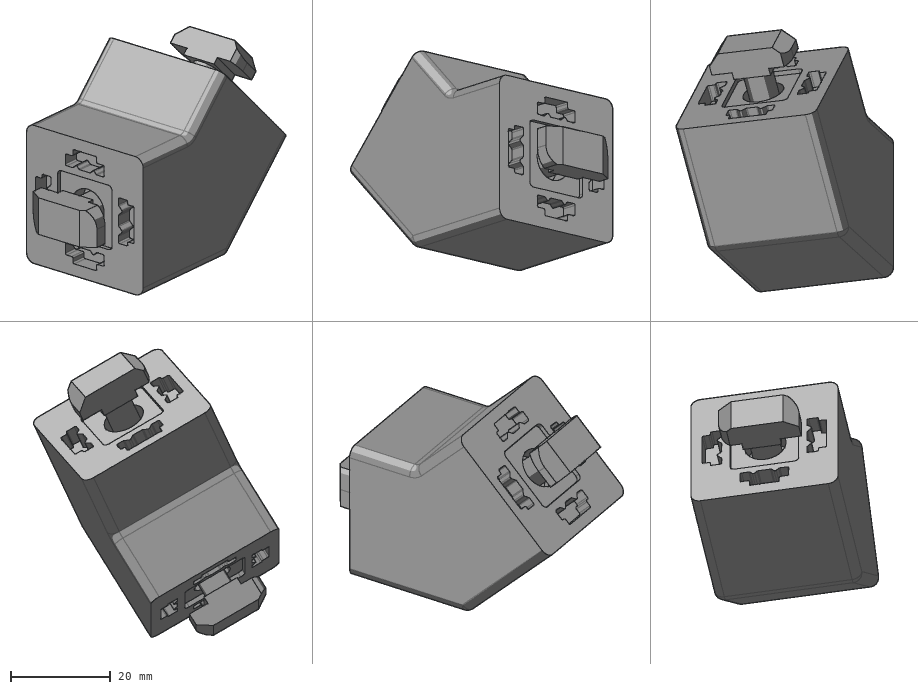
import cadquery as cq
import math

overall_length = 55.0
section = 30.0
outer_leg = 27.4
bend_angle = 45.0
edge_radius = 2.0

socket_size = 13.95
socket_depth = 1.0
socket_corner_radius = 1.0
bore_diameter = 8.4
bore_depth = 4.8

slot_wide_half = 4.95
slot_depth = 3.5
slot_edge_radius = 0.35
notch_offset = 2.2
full_slot = {"inner": 8.7, "shoulder": 11.0, "outer": 12.65, "narrow_half": 4.0, "notch_half": 1.05}
slim_slot = {"inner": 8.4, "shoulder": 10.95, "outer": 12.4, "narrow_half": 3.0, "notch_half": 0.8}

shaft_diameter = 6.05
back_gap = 4.4
neck_width = 7.8
neck_height = 1.55
head_width = 16.4
head_thickness = 7.9
head_height = 4.5

front_straight = 2.6
front_tip_width = 10.55
front_corner_radius = 5.1
back_straight = 2.0
back_tip_width = 11.55
back_corner_radius = head_width / 2

bend = math.radians(bend_angle)
half_section = section / 2
mitre_offset = half_section * math.tan(bend / 2)
leg = outer_leg - mitre_offset
inner_leg = leg - mitre_offset
back_axis = (math.cos(bend), math.sin(bend))
mitre_normal = (0, 1 + back_axis[0], back_axis[1])
housing_length = outer_leg * (1 + math.cos(bend))
front_gap = overall_length - housing_length - neck_height - head_height

front_face = cq.Plane(origin=(0, -leg, 0), xDir=(1, 0, 0), normal=(0, -1, 0))


def mirror_to_back(shape):
    """Carry a shape from the front leg to the back leg, across the mitre plane."""
    return shape.mirror(mitre_normal)


def make_shaft(front_reach, back_reach):
    """Bent round bar that ends the given distances beyond the two end faces."""
    radius = shaft_diameter / 2
    front = cq.Workplane("XZ").circle(radius).extrude(leg + front_reach)
    back = mirror_to_back(cq.Workplane("XZ").circle(radius).extrude(leg + back_reach))
    knuckle = cq.Workplane("XY").sphere(radius)
    return front.union(back).union(knuckle)


def along_back(point, distance):
    return (point[0] + distance * back_axis[0], point[1] + distance * back_axis[1])


def make_elbow():
    """Solid bent block with a square section and rounded long edges."""
    inner_bend = (-mitre_offset, half_section)
    outer_bend = (mitre_offset, -half_section)
    profile = [
        (-leg, -half_section),
        outer_bend,
        along_back(outer_bend, outer_leg),
        along_back(inner_bend, inner_leg),
        inner_bend,
        (-leg, half_section),
    ]
    elbow = cq.Workplane("YZ").polyline(profile).close().extrude(half_section, both=True)

    for bend_y, bend_z in (inner_bend, outer_bend):
        bend_edge = cq.selectors.NearestToPointSelector((0, bend_y, bend_z))
        elbow = elbow.edges(bend_edge).fillet(edge_radius)

    front_end_edges = cq.selectors.ParallelDirSelector(cq.Vector(0, 0, 1))
    back_end_edges = cq.selectors.ParallelDirSelector(cq.Vector(0, -back_axis[1], back_axis[0]))
    long_edges = -(front_end_edges + back_end_edges)
    return elbow.faces("<X or >X").edges(long_edges).fillet(edge_radius)


def make_slot(inner, shoulder, outer, narrow_half, notch_half):
    """Stepped slot above the socket, with two pointed notches in its inner side."""
    outline = [(-slot_wide_half, inner)]
    for centre in (-notch_offset, notch_offset):
        outline += [
            (centre - notch_half, inner),
            (centre, inner + notch_half),
            (centre + notch_half, inner),
        ]
    outline += [
        (slot_wide_half, inner),
        (slot_wide_half, shoulder),
        (narrow_half, shoulder),
        (narrow_half, outer),
        (-narrow_half, outer),
        (-narrow_half, shoulder),
        (-slot_wide_half, shoulder),
    ]
    slot = cq.Workplane(front_face).polyline(outline).close().extrude(-slot_depth)
    return slot.edges("|Y").fillet(slot_edge_radius)


def make_recesses(side_slot, upright_slot):
    """Everything cut into the front end face: socket, bore and four slots."""
    socket = cq.Workplane(front_face).rect(socket_size, socket_size).extrude(-socket_depth)
    socket = socket.edges("|Y").fillet(socket_corner_radius)
    bore = cq.Workplane(front_face).circle(bore_diameter / 2).extrude(-bore_depth)
    recesses = socket.union(bore)
    for angle, sizes in ((0, upright_slot), (90, side_slot), (180, upright_slot), (270, side_slot)):
        recesses = recesses.union(make_slot(**sizes).rotate((0, 0, 0), (0, 1, 0), angle))
    return recesses


def make_housing():
    front_recesses = make_recesses(full_slot, slim_slot)
    back_recesses = mirror_to_back(make_recesses(full_slot, full_slot))
    shaft_passage = make_shaft(0, 0)
    return make_elbow().cut(front_recesses).cut(back_recesses).cut(shaft_passage)


def make_head(gap, straight, tip_width, corner_radius):
    """T-head in front of the front end face, with two opposite corners rounded."""
    half_neck = neck_width / 2
    half_width = head_width / 2
    half_tip = tip_width / 2
    half_thickness = head_thickness / 2
    neck_start = -leg - gap
    head_start = neck_start - neck_height
    taper_start = head_start - straight
    tip = head_start - head_height

    right_side = [
        (half_neck, neck_start),
        (half_neck, head_start),
        (half_width, head_start),
        (half_width, taper_start),
        (half_tip, tip),
    ]
    left_side = [(-x, y) for x, y in reversed(right_side)]
    tee = (
        cq.Workplane("XY")
        .polyline(right_side + left_side)
        .close()
        .extrude(half_thickness, both=True)
    )

    sweep = math.asin(half_thickness / corner_radius)
    arc_centre = half_width - corner_radius
    arc_end_x = arc_centre + corner_radius * math.cos(sweep)
    arc_mid_x = arc_centre + corner_radius * math.cos(sweep / 2)
    arc_mid_z = corner_radius * math.sin(sweep / 2)
    rounded_plan = (
        cq.Workplane(front_face)
        .moveTo(half_width, -half_thickness)
        .lineTo(half_width, 0)
        .threePointArc((arc_mid_x, arc_mid_z), (arc_end_x, half_thickness))
        .lineTo(-half_width, half_thickness)
        .lineTo(-half_width, 0)
        .threePointArc((-arc_mid_x, -arc_mid_z), (-arc_end_x, -half_thickness))
        .close()
        .extrude(gap + neck_height + head_height)
    )
    return tee.intersect(rounded_plan)


def make_anchor():
    front_head = make_head(front_gap, front_straight, front_tip_width, front_corner_radius)
    back_head = make_head(back_gap, back_straight, back_tip_width, back_corner_radius)
    return make_shaft(front_gap, back_gap).union(front_head).union(mirror_to_back(back_head))


housing = make_housing()
anchor = make_anchor()
result = cq.Compound.makeCompound([housing.solids().val(), anchor.solids().val()])